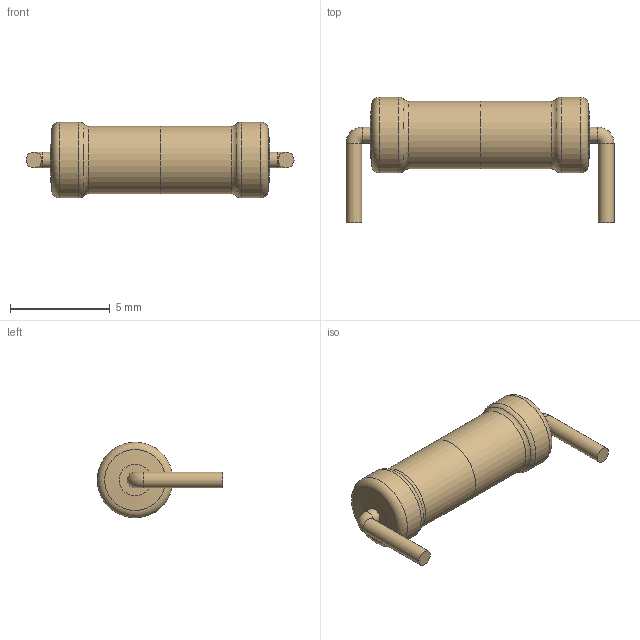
import cadquery as cq
import math


body_length = 11.0
cap_radius = 3.8 / 2
barrel_radius = 3.4 / 2
end_flat_radius = 0.8
end_taper_angle = 4.0
rim_radius = 0.4
neck_end = 4.07
neck_length = 0.5

lead_pitch = 12.66
lead_diameter = 0.8
lead_bend_radius = 0.42
lead_reach = 4.4

half_length = body_length / 2


def half_profile():
    """Closed outline of the +X half of the body, between the axis and its surface."""
    half_neck = neck_length / 2
    half_step = (cap_radius - barrel_radius) / 2
    neck_angle = 2 * math.atan(half_step / half_neck)
    neck_radius = half_neck / math.sin(neck_angle)
    arc_mid_x = neck_radius * math.sin(neck_angle / 2)
    arc_mid_r = neck_radius * (1 - math.cos(neck_angle / 2))
    neck_start = neck_end - neck_length
    neck_middle = (neck_end - half_neck, barrel_radius + half_step)

    taper = math.radians(end_taper_angle)
    rim_center_r = cap_radius - rim_radius
    rim_end_r = rim_center_r + rim_radius * math.sin(taper)
    rim_end_x = half_length - (rim_end_r - end_flat_radius) * math.tan(taper)
    rim_center_x = rim_end_x - rim_radius * math.cos(taper)
    rim_mid_angle = (math.pi / 2 + taper) / 2
    rim_mid = (
        rim_center_x + rim_radius * math.cos(rim_mid_angle),
        rim_center_r + rim_radius * math.sin(rim_mid_angle),
    )

    return (
        cq.Workplane("XY")
        .lineTo(0, barrel_radius)
        .lineTo(neck_start, barrel_radius)
        .threePointArc((neck_start + arc_mid_x, barrel_radius + arc_mid_r), neck_middle)
        .threePointArc((neck_end - arc_mid_x, cap_radius - arc_mid_r), (neck_end, cap_radius))
        .lineTo(rim_center_x, cap_radius)
        .threePointArc(rim_mid, (rim_end_x, rim_end_r))
        .lineTo(half_length, end_flat_radius)
        .lineTo(half_length, 0)
        .close()
    )


def make_body():
    """Resistor body: half of it revolved about X, then mirrored across YZ."""
    half = half_profile().revolve(360, (0, 0, 0), (1, 0, 0))
    return half.union(half.mirror("YZ"))


def make_lead(side):
    """Bent wire from one end face; side is +1 for the +X end and -1 for the -X end."""
    lead_x = lead_pitch / 2
    bend_start_x = lead_x - lead_bend_radius
    bend_mid_offset = lead_bend_radius * math.sin(math.pi / 4)
    path = (
        cq.Workplane("XY")
        .moveTo(side * half_length, 0)
        .lineTo(side * bend_start_x, 0)
        .threePointArc(
            (side * (bend_start_x + bend_mid_offset), bend_mid_offset - lead_bend_radius),
            (side * lead_x, -lead_bend_radius),
        )
        .lineTo(side * lead_x, -lead_reach)
    )
    return cq.Workplane("YZ", origin=(side * half_length, 0, 0)).circle(lead_diameter / 2).sweep(path)


body = make_body()
leads = [make_lead(side) for side in (-1, 1)]

result = cq.Compound.makeCompound([body.val(), *[lead.val() for lead in leads]])